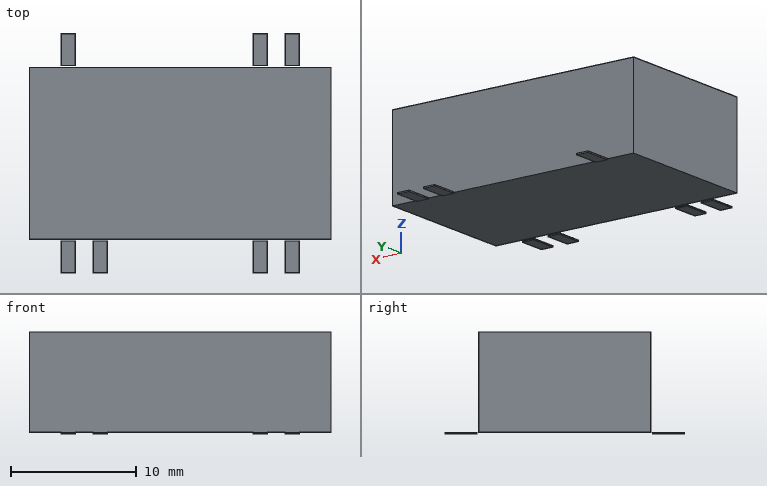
import cadquery as cq

housing_length = 24.0
housing_width = 13.68
housing_height = 8.0

overall_width = 19.0
overall_height = 8.1
pad_width = 1.13
pad_length = 2.55
pad_thickness = overall_height - housing_height

pad_pitch = 2.55
front_places = (-3.5, -2.5, 2.5, 3.5)
back_places = (-3.5, 2.5, 3.5)
row_offset = (overall_width - pad_length) / 2


def make_housing():
    """Plain rectangular block."""
    return cq.Workplane("XY").box(
        housing_length, housing_width, housing_height, centered=(True, True, False)
    )


def make_pad(x, y):
    """Thin rectangular pad whose top is level with the housing underside."""
    pad = cq.Workplane("XY").box(
        pad_width, pad_length, pad_thickness, centered=(True, True, False)
    )
    return pad.translate((x, y, -pad_thickness))


housing = make_housing()

pads = []
for row_y, places in ((-row_offset, front_places), (row_offset, back_places)):
    for place in places:
        pads.append(make_pad(place * pad_pitch, row_y))

result = cq.Compound.makeCompound([housing.val(), *[pad.val() for pad in pads]])